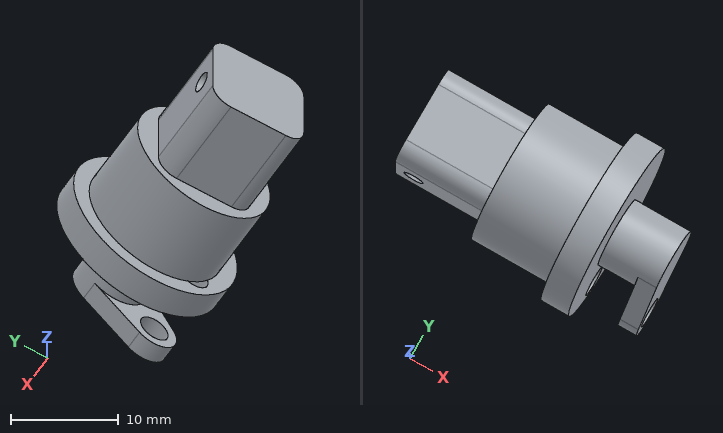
import cadquery as cq
import math

total_length = 26.9
square_length = 9.5
body_length = 8.45
flange_thickness = 2.99
shaft_length = total_length - square_length - body_length - flange_thickness
arm_thickness = 2.0

body_start = square_length
flange_start = body_start + body_length
shaft_start = flange_start + flange_thickness
arm_start = total_length - arm_thickness

square_width = 10.0
square_corner_radius = 2.0
body_radius = 7.3
flange_diameter = 18.0
shaft_radius = 3.5

tip_y = -4.25
tip_z = -5.0
tip_radius = 2.47
tip_hole_radius = 1.5

cross_hole_diameter = 2.02
cross_hole_x = 2.0


def cross_plane(x):
    """Plane across the axis at x: local x is +Y and local y is +Z."""
    return cq.Workplane("YZ", origin=(x, 0, 0))


def disc(x, radius, length):
    return cross_plane(x).circle(radius).extrude(length)


def square_end():
    block = cross_plane(0).rect(square_width, square_width).extrude(square_length)
    return block.edges("|X").fillet(square_corner_radius)


def at_angle(center_y, center_z, radius, angle):
    """Point on a circle in the YZ plane."""
    return (center_y + radius * math.cos(angle), center_z + radius * math.sin(angle))


def arm():
    """Plate around the shaft and the tip, joined by their outer tangents."""
    distance = math.hypot(tip_y, tip_z)
    direction = math.atan2(tip_z, tip_y)
    spread = math.acos((shaft_radius - tip_radius) / distance)
    first, second = direction - spread, direction + spread
    return (
        cross_plane(arm_start)
        .moveTo(*at_angle(0, 0, shaft_radius, first))
        .lineTo(*at_angle(tip_y, tip_z, tip_radius, first))
        .threePointArc(
            at_angle(tip_y, tip_z, tip_radius, direction),
            at_angle(tip_y, tip_z, tip_radius, second),
        )
        .lineTo(*at_angle(0, 0, shaft_radius, second))
        .threePointArc(
            at_angle(0, 0, shaft_radius, direction + math.pi),
            at_angle(0, 0, shaft_radius, first),
        )
        .close()
        .extrude(arm_thickness)
    )


def tip_hole():
    """Hole on the tip axis, through the arm and the flange but not the body."""
    return (
        cross_plane(flange_start)
        .center(tip_y, tip_z)
        .circle(tip_hole_radius)
        .extrude(total_length - flange_start)
    )


def cross_hole():
    return (
        cq.Workplane("XZ")
        .center(cross_hole_x, 0)
        .circle(cross_hole_diameter / 2)
        .extrude(square_width / 2, both=True)
    )


result = (
    square_end()
    .union(disc(body_start, body_radius, body_length))
    .union(disc(flange_start, flange_diameter / 2, flange_thickness))
    .union(disc(shaft_start, shaft_radius, shaft_length))
    .union(arm())
    .cut(tip_hole())
    .cut(cross_hole())
)